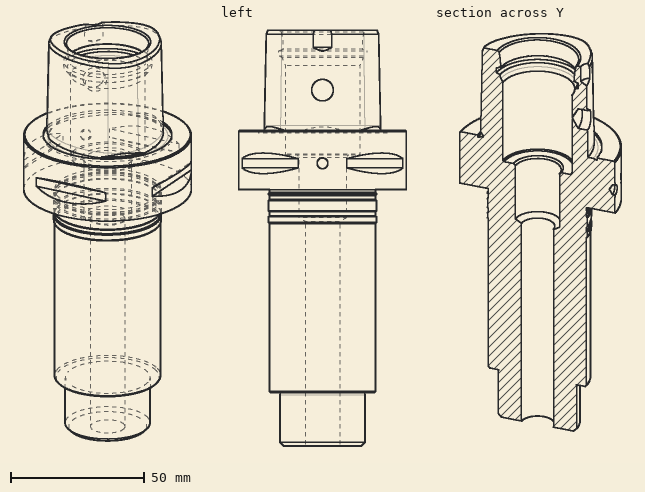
import cadquery as cq
import math

total_length = 156.0

shank_length = 37.6
shank_base_width = 43.7
lobe_height = 1.3
taper_per_length = 0.021
lobe_count = 3
flat_half_angle = 35.0
points_per_face = 9
shank_end_chamfer = 0.6
shank_end_chamfer_length = 1.5
straight_foot_length = 1.9
foot_top_radius = 23.4
foot_bottom_radius = 22.2

flange_diameter = 63.0
flange_height = 22.2
flange_chamfer = 0.5
recess_outer_radius = 24.2
recess_ledge_radius = 22.6
recess_ledge_depth = 0.5
recess_depth = 1.0

slot_count = 4
slot_first_angle = 45.0
slot_floor_offset = 27.8
slot_floor_width = 3.5
slot_flank_angle = 30.0
slot_drop = 12.3

body_diameter = 40.0
collar_diameter = 40.5
collar_chamfer_length = 0.5
collars = ((93.9, 95.2), (87.8, 92.5), (83.5, 86.5))
shoulder_height = 20.0
shoulder_chamfer = 0.6

spigot_diameter = 32.0
spigot_chamfer = 1.4
relief_depth = 0.2
relief_length = 0.6

mouth_radius = 16.2
mouth_bore_radius = 15.5
mouth_chamfer_depth = 0.6
throat_radius = 14.8
groove_radius = 16.5
groove_top_depth = 7.0
groove_bottom_depth = 10.1
groove_flank_length = 0.6
groove_exit_radius = 15.1
cone_step_radius = 14.8
cone_step_depth = 11.5
main_bore_diameter = 28.0
main_bore_top_depth = 13.1
main_bore_floor_depth = 46.8
floor_chamfer = 0.5
bolt_bore_diameter = 17.8
bolt_bore_chamfer = 0.8
bolt_bore_floor_depth = 70.2
through_diameter = 13.0
drill_half_angle = 59.0

shank_hole_diameter = 8.1
shank_hole_depth = 3.7
shank_hole_drop = 22.5
flange_hole_diameter = 4.0
flange_hole_depth = 1.1
hole_overrun = 1.5
notch_diameter = 8.1
notch_depth = 6.4
notch_axis_x = -21.7

flange_top = total_length - shank_length
flange_bottom = flange_top - flange_height
recess_ledge = flange_top - recess_ledge_depth
slot_height = flange_top - slot_drop
taper_start = flange_top + straight_foot_length


def lobed_point(width, degrees, z):
    """Point on the lobed outline whose outward normal has the given direction."""
    angle = math.radians(degrees)
    reach = width / 2 + lobe_height * math.cos(lobe_count * angle)
    slope = -lobe_count * lobe_height * math.sin(lobe_count * angle)
    x = reach * math.cos(angle) - slope * math.sin(angle)
    y = reach * math.sin(angle) + slope * math.cos(angle)
    return cq.Vector(x, y, z)


def lobed_face(width, start, end, z):
    step = (end - start) / (points_per_face - 1)
    points = [lobed_point(width, start + i * step, z) for i in range(points_per_face)]
    tangents = [
        cq.Vector(-math.sin(math.radians(a)), math.cos(math.radians(a)), 0) for a in (start, end)
    ]
    return cq.Edge.makeSpline(points, tangents=tangents)


def lobed_wire(width, z):
    pitch = 360 / lobe_count
    edges = []
    for i in range(lobe_count):
        flat_start = pitch / 2 + i * pitch - flat_half_angle
        flat_end = flat_start + 2 * flat_half_angle
        edges.append(lobed_face(width, flat_start, flat_end, z))
        edges.append(lobed_face(width, flat_end, flat_start + pitch, z))
    return cq.Wire.assembleEdges(edges)


def revolved(profile):
    """Turn a closed (radius, z) outline about the Z axis."""
    return cq.Workplane("XZ").polyline(profile).close().revolve(360, (0, 0), (0, 1))


def shank_width(z):
    """Width of the tapered stretch of the shank at height z."""
    return shank_base_width - 2 * taper_per_length * (z - taper_start)


def shank():
    chamfer_start = total_length - shank_end_chamfer_length
    chamfer_width = shank_width(chamfer_start)
    sections = [
        lobed_wire(shank_base_width, recess_ledge),
        lobed_wire(shank_base_width, taper_start),
        lobed_wire(chamfer_width, chamfer_start),
        lobed_wire(chamfer_width - 2 * shank_end_chamfer, total_length),
    ]
    lobed = cq.Workplane(cq.Solid.makeLoft(sections, True))
    envelope = revolved(
        [
            (0, recess_ledge),
            (foot_bottom_radius, recess_ledge),
            (foot_bottom_radius, flange_top),
            (foot_top_radius, taper_start),
            (foot_top_radius, total_length),
            (0, total_length),
        ]
    )
    return lobed.intersect(envelope)


def flange_and_body():
    flange_radius = flange_diameter / 2
    body_radius = body_diameter / 2
    collar_radius = collar_diameter / 2
    spigot_radius = spigot_diameter / 2
    profile = [
        (0, recess_ledge),
        (recess_ledge_radius, recess_ledge),
        (recess_outer_radius, flange_top - recess_depth),
        (recess_outer_radius, flange_top),
        (flange_radius - flange_chamfer, flange_top),
        (flange_radius, flange_top - flange_chamfer),
        (flange_radius, flange_bottom),
        (body_radius, flange_bottom),
    ]
    for lower, upper in collars:
        profile += [
            (body_radius, upper),
            (collar_radius, upper - collar_chamfer_length),
            (collar_radius, lower + collar_chamfer_length),
            (body_radius, lower),
        ]
    profile += [
        (body_radius, shoulder_height + shoulder_chamfer),
        (body_radius - shoulder_chamfer, shoulder_height),
        (spigot_radius - relief_depth, shoulder_height),
        (spigot_radius, shoulder_height - relief_length),
        (spigot_radius, spigot_chamfer),
        (spigot_radius - spigot_chamfer, 0),
        (0, 0),
    ]
    return revolved(profile)


def bore():
    main_radius = main_bore_diameter / 2
    bolt_radius = bolt_bore_diameter / 2
    through_radius = through_diameter / 2
    drill_tip = (bolt_radius - through_radius) / math.tan(math.radians(drill_half_angle))
    flare_height = groove_top_depth - mouth_chamfer_depth
    flare_width = mouth_bore_radius - throat_radius
    flare_arc_radius = (flare_height**2 + flare_width**2) / (2 * flare_width)
    half_flare_angle = math.asin(flare_height / flare_arc_radius) / 2
    flare_middle = (
        throat_radius + flare_arc_radius * (1 - math.cos(half_flare_angle)),
        total_length - groove_top_depth + flare_arc_radius * math.sin(half_flare_angle),
    )
    lower_steps = [
        (groove_radius, groove_top_depth + groove_flank_length),
        (groove_radius, groove_bottom_depth - groove_flank_length),
        (groove_exit_radius, groove_bottom_depth),
        (cone_step_radius, cone_step_depth),
        (main_radius, main_bore_top_depth),
        (main_radius, main_bore_floor_depth - floor_chamfer),
        (main_radius - floor_chamfer, main_bore_floor_depth),
        (bolt_radius + bolt_bore_chamfer, main_bore_floor_depth),
        (bolt_radius, main_bore_floor_depth + bolt_bore_chamfer),
        (bolt_radius, bolt_bore_floor_depth),
        (through_radius, bolt_bore_floor_depth + drill_tip),
        (through_radius, total_length),
        (0, total_length),
    ]
    profile = (
        cq.Workplane("XZ")
        .moveTo(0, total_length)
        .lineTo(mouth_radius, total_length)
        .lineTo(mouth_bore_radius, total_length - mouth_chamfer_depth)
        .threePointArc(flare_middle, (throat_radius, total_length - groove_top_depth))
    )
    for radius, depth in lower_steps:
        profile = profile.lineTo(radius, total_length - depth)
    return profile.close().revolve(360, (0, 0), (0, 1))


def gripper_slot(angle):
    """Straight slot across the rim, with sloping flanks that widen outward."""
    rim = flange_diameter / 2
    half_floor = slot_floor_width / 2
    half_mouth = half_floor + (rim - slot_floor_offset) * math.tan(math.radians(slot_flank_angle))
    return (
        cq.Workplane("XZ")
        .polyline(
            [
                (slot_floor_offset, slot_height - half_floor),
                (rim, slot_height - half_mouth),
                (rim, slot_height + half_mouth),
                (slot_floor_offset, slot_height + half_floor),
            ]
        )
        .close()
        .extrude(rim, both=True)
        .rotate((0, 0, 0), (0, 0, 1), angle)
    )


def drilled(diameter, depth, start, direction):
    """Cylinder with a conical drill point beyond its depth."""
    radius = diameter / 2
    tip_length = radius / math.tan(math.radians(drill_half_angle))
    barrel = cq.Solid.makeCylinder(radius, depth, start, direction)
    tip = cq.Solid.makeCone(radius, 0, tip_length, start + direction * depth, direction)
    return cq.Workplane(barrel.fuse(tip))


def side_hole(diameter, depth, surface_x, z):
    """Blind hole drilled toward +X from just outside the surface at surface_x."""
    start = cq.Vector(surface_x - hole_overrun, 0, z)
    return drilled(diameter, depth + hole_overrun, start, cq.Vector(1, 0, 0))


def orientation_notch():
    """Notch drilled down into the upper end, with its axis outside the shank."""
    start = cq.Vector(notch_axis_x, 0, total_length)
    return drilled(notch_diameter, notch_depth, start, cq.Vector(0, 0, -1))


result = flange_and_body().union(shank()).cut(bore()).cut(orientation_notch())

for i in range(slot_count):
    result = result.cut(gripper_slot(slot_first_angle + i * 360 / slot_count))

shank_hole_height = total_length - shank_hole_drop
flat_x_at_hole = lobe_height - shank_width(shank_hole_height) / 2
result = result.cut(side_hole(shank_hole_diameter, shank_hole_depth, flat_x_at_hole, shank_hole_height))
result = result.cut(side_hole(flange_hole_diameter, flange_hole_depth, -flange_diameter / 2, slot_height))